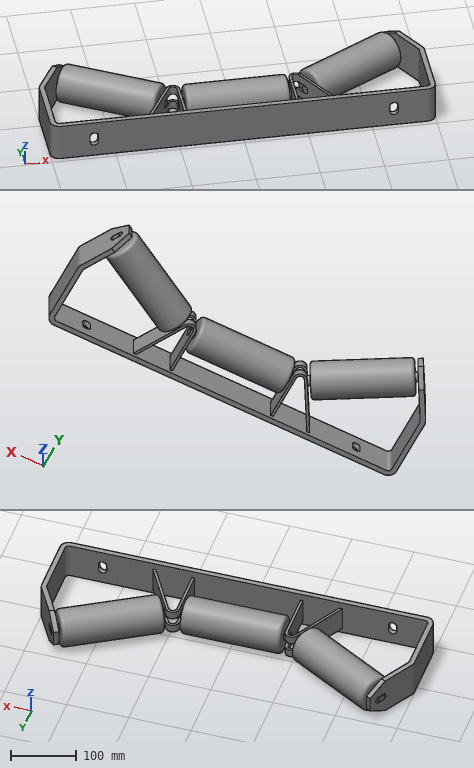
import cadquery as cq
import math


tilt = 30.0
tilt_sin = math.sin(math.radians(tilt))
tilt_cos = math.cos(math.radians(tilt))

frame_length = 600.0
frame_depth = 189.0
frame_width = 60.0
frame_thickness = 8.5
bend_outer_radius = 14.5
bend_inner_radius = bend_outer_radius - frame_thickness
wing_tip_width = 25.0
wing_chamfer_length = 31.0

base_slot_spacing = 467.0
base_slot_width = 13.0
base_slot_length = 22.0

roller_z = -2.0
shaft_diameter = 13.0
wing_slot_width = 11.0
wing_slot_length = 21.0
wing_slot_offset = 2.0

clip_thickness = 4.0
clip_outer_radius = 11.0
clip_inner_radius = clip_outer_radius - clip_thickness
clip_bend_x = 96.0
clip_bend_y = 84.5
seat_depth = 13.0
clip_height = 40.0
clip_bottom_z = roller_z - clip_height / 2

roller_diameter = 60.0
roller_length = 161.0
roller_fillet = 5.5
collar_diameter = 16.0

half_length = frame_length / 2
half_width = frame_width / 2
middle_seat_y = clip_bend_y - seat_depth
clip_face_x = clip_bend_x - clip_outer_radius
collar_span = 2 * clip_face_x

axis_out = (tilt_cos, tilt_sin)
wing_up = (-tilt_sin, tilt_cos)

slope_seat = (
    clip_bend_x + clip_outer_radius * axis_out[0] - seat_depth * wing_up[0],
    clip_bend_y + clip_outer_radius * axis_out[1] - seat_depth * wing_up[1],
)

wing_seat = (
    slope_seat[0] + collar_span * axis_out[0],
    slope_seat[1] + collar_span * axis_out[1],
)

wing_bend_x = half_length - bend_outer_radius
seat_distance = wing_seat[0] * axis_out[0] + wing_seat[1] * axis_out[1]
side_end_y = (seat_distance - bend_inner_radius - wing_bend_x * axis_out[0]) / axis_out[1]

wing_bend_center = (wing_bend_x, side_end_y)
wing_outer_root = (
    wing_bend_center[0] + bend_outer_radius * axis_out[0],
    wing_bend_center[1] + bend_outer_radius * axis_out[1],
)
wing_length = (frame_depth - wing_outer_root[1]) / tilt_cos


def wing_point(along, inward):
    """Point on the right-hand wing, measured from the outer end of its bend."""
    return (
        wing_outer_root[0] + along * wing_up[0] - inward * axis_out[0],
        wing_outer_root[1] + along * wing_up[1] - inward * axis_out[1],
    )


def arc_point(center, radius, angle):
    """Point on a circle at an angle in degrees from +X."""
    return (
        center[0] + radius * math.cos(math.radians(angle)),
        center[1] + radius * math.sin(math.radians(angle)),
    )


def mirror_pair(shape):
    """The shape and its copy mirrored to the other side of X = 0."""
    return [shape, shape.mirror("YZ")]


def tilted_plane(origin, height=roller_z):
    """Plane at a Z height: local x up the wing, facing outwards along the outer roller axis."""
    return cq.Plane(origin=(*origin, height), xDir=(*wing_up, 0), normal=(*axis_out, 0))


def half_frame():
    """Right-hand half of the strap: half base, corner, side and tilted wing."""
    corner_center = (half_length - bend_outer_radius, bend_outer_radius)
    corner_mid_angle = -45
    inner_x = half_length - frame_thickness
    return (
        cq.Workplane("XY", origin=(0, 0, -half_width))
        .moveTo(0, 0)
        .lineTo(corner_center[0], 0)
        .threePointArc(
            arc_point(corner_center, bend_outer_radius, corner_mid_angle),
            (half_length, bend_outer_radius),
        )
        .lineTo(half_length, side_end_y)
        .threePointArc(arc_point(wing_bend_center, bend_outer_radius, tilt / 2), wing_point(0, 0))
        .lineTo(*wing_point(wing_length, 0))
        .lineTo(*wing_point(wing_length, frame_thickness))
        .lineTo(*wing_point(0, frame_thickness))
        .threePointArc(arc_point(wing_bend_center, bend_inner_radius, tilt / 2), (inner_x, side_end_y))
        .lineTo(inner_x, bend_outer_radius)
        .threePointArc(
            arc_point(corner_center, bend_inner_radius, corner_mid_angle),
            (corner_center[0], frame_thickness),
        )
        .lineTo(0, frame_thickness)
        .close()
        .extrude(frame_width)
    )


def wing_corner_cutter():
    """Two triangular prisms that taper the right-hand wing towards its tip."""
    cutter = cq.Workplane(tilted_plane(wing_point(wing_length, frame_thickness), 0))
    for side in (1, -1):
        cutter = cutter.polyline([
            (-wing_chamfer_length, side * half_width),
            (0, side * half_width),
            (0, side * wing_tip_width / 2),
        ]).close()
    return cutter.extrude(frame_thickness)


def wing_slot_prism():
    """Material removed by the shaft slot of the right-hand wing."""
    return (
        cq.Workplane(tilted_plane(wing_seat, 0))
        .center(wing_slot_offset, 0)
        .slot2D(wing_slot_length, wing_slot_width)
        .extrude(frame_thickness)
    )


def build_frame():
    """Whole strap with tapered wings, wing slots and the two mounting slots in the base."""
    right_half = half_frame().cut(wing_corner_cutter())
    right_half = right_half.cut(wing_slot_prism())
    base_slot = (
        cq.Workplane("XZ", origin=(base_slot_spacing / 2, frame_thickness, 0))
        .slot2D(base_slot_length, base_slot_width, 90)
        .extrude(frame_thickness)
    )
    right_half = right_half.cut(base_slot)
    return right_half.union(right_half.mirror("YZ"))


def clip_strip():
    """Right-hand clip strip: upright leg, rounded bend and sloping leg ending on the base."""
    center = (clip_bend_x, clip_bend_y)
    inner_face_x = clip_bend_x - clip_inner_radius
    top_angle = (180 + tilt) / 2

    def leg_foot(radius):
        start = arc_point(center, radius, tilt)
        run = (start[1] - frame_thickness) / tilt_cos
        return (start[0] + run * tilt_sin, frame_thickness)

    return (
        cq.Workplane("XY", origin=(0, 0, clip_bottom_z))
        .moveTo(clip_face_x, frame_thickness)
        .lineTo(clip_face_x, clip_bend_y)
        .threePointArc(
            arc_point(center, clip_outer_radius, top_angle),
            arc_point(center, clip_outer_radius, tilt),
        )
        .lineTo(*leg_foot(clip_outer_radius))
        .lineTo(*leg_foot(clip_inner_radius))
        .lineTo(*arc_point(center, clip_inner_radius, tilt))
        .threePointArc(arc_point(center, clip_inner_radius, top_angle), (inner_face_x, clip_bend_y))
        .lineTo(inner_face_x, frame_thickness)
        .close()
        .extrude(clip_height)
    )


def leg_slot(plane):
    """Slot cutter through one leg, from the shaft seat at the plane origin up to the bend."""
    return (
        cq.Workplane(plane)
        .center(seat_depth / 2, 0)
        .slot2D(seat_depth + shaft_diameter, shaft_diameter)
        .extrude(-clip_thickness)
    )


def bend_slot():
    """Block that carries the leg slots over the bend, joining them into one."""
    return (
        cq.Workplane("XY", origin=(clip_bend_x, clip_bend_y, roller_z))
        .box(2 * clip_outer_radius, clip_outer_radius, shaft_diameter, centered=(True, False, True))
    )


def build_clip():
    """Right-hand clip with one slot running from shaft seat to shaft seat over the bend."""
    upright_plane = cq.Plane(
        origin=(clip_face_x, middle_seat_y, roller_z), xDir=(0, 1, 0), normal=(-1, 0, 0)
    )
    clip = clip_strip().cut(leg_slot(upright_plane))
    return clip.cut(leg_slot(tilted_plane(slope_seat))).cut(bend_slot())


def axial_cylinder(start_x, length, diameter):
    """Cylinder along +X from a start position on the roller axis."""
    return cq.Workplane("YZ", origin=(start_x, 0, 0)).circle(diameter / 2).extrude(length)


def roller_shell():
    """Roller along X, centred on the origin, with its two collars."""
    shell = axial_cylinder(-roller_length / 2, roller_length, roller_diameter)
    shell = shell.edges("%CIRCLE").fillet(roller_fillet)
    return shell.union(axial_cylinder(-collar_span / 2, collar_span, collar_diameter))


def to_right_slope(shape):
    """Move a shape from the X axis to the axis of the right-hand outer roller."""
    center_x = (slope_seat[0] + wing_seat[0]) / 2
    center_y = (slope_seat[1] + wing_seat[1]) / 2
    return shape.rotate((0, 0, 0), (0, 0, 1), tilt).translate((center_x, center_y, roller_z))


def build_middle_roller():
    """Level roller whose shaft ends sit flush in the upright legs of both clips."""
    shaft_length = collar_span + 2 * clip_thickness
    shaft = axial_cylinder(-shaft_length / 2, shaft_length, shaft_diameter)
    return roller_shell().union(shaft).translate((0, middle_seat_y, roller_z))


def build_right_roller():
    """Tilted roller: round shaft end in the clip, flat-sided shaft end in the wing slot."""
    clip_end = axial_cylinder(-collar_span / 2 - clip_thickness, clip_thickness, shaft_diameter)
    wing_end = axial_cylinder(collar_span / 2, frame_thickness, shaft_diameter)
    roller = to_right_slope(roller_shell().union(clip_end))
    return roller.union(to_right_slope(wing_end).intersect(wing_slot_prism()))


frame = build_frame()
clips = mirror_pair(build_clip())
rollers = [build_middle_roller()] + mirror_pair(build_right_roller())

result = cq.Compound.makeCompound([body.val() for body in [frame] + clips + rollers])